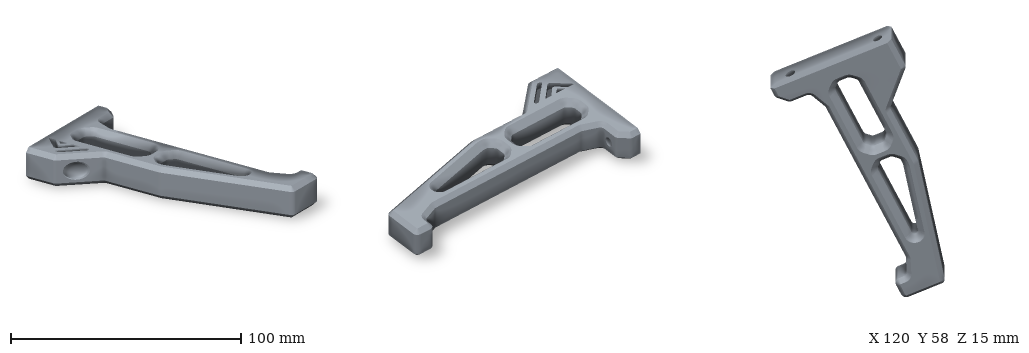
import cadquery as cq
import math

length = 120.0
height = 58.0
thickness = 15.0

flange_thickness = 10.0
flange_corner_x = 5.2
flange_corner_y = 53.3
foot_length = 15.1

arm_top = 40.2
arm_bottom = 15.0
ramp_left_x = 18.6
ramp_right_x = 101.3
ramp_end_y = 43.7
gusset_end_x = 31.0
bend_x = 59.9
taper_angle = math.radians(14)

hook_left = 109.8
hook_top = 50.0

corner_radius = 2.2
hook_radius = 2.5
gusset_radius = 1.7
bend_radius = 6.6
edge_chamfer = 2.0

window_bottom = 22.0
window_top = 33.0
window_corner_cut = 2.9
window_radius = 2.0
window_chamfer = 3.0
front_window_left = 10.0
front_window_right = 45.6
rear_window_left = 53.6
rear_window_bend_x = 59.0
rear_window_bend_radius = 8.9
rear_window_tip_radius = 1.5

upper_hole_y = 48.4
upper_hole_diameter = 4.5
lower_hole_y = 6.6
lower_hole_diameter = 4.2
counterbore_diameter = 7.5
counterbore_chamfer = 0.5

groove_depth = 3.5


def rounded_prism(corners):
    """Extrude a closed polygon of (x, y, radius) corners, centred on z = 0."""
    arcs = []
    for i, (x, y, radius) in enumerate(corners):
        corner = cq.Vector(x, y)
        before = (cq.Vector(*corners[i - 1][:2]) - corner).normalized()
        after = (cq.Vector(*corners[(i + 1) % len(corners)][:2]) - corner).normalized()
        half_angle = before.getAngle(after) / 2
        setback = radius / math.tan(half_angle)
        middle_distance = radius / math.sin(half_angle) - radius
        middle = corner + (before + after).normalized() * middle_distance
        arcs.append((corner + before * setback, middle, corner + after * setback))

    outline = cq.Workplane("XY", origin=(0, 0, -thickness / 2)).moveTo(*arcs[0][2].toTuple()[:2])
    for start, middle, end in arcs[1:] + arcs[:1]:
        outline = outline.lineTo(start.x, start.y)
        if (end - start).Length > 0:
            outline = outline.threePointArc((middle.x, middle.y), (end.x, end.y))
    return outline.close().extrude(thickness)


def make_body():
    """Flange, gusset, arm and hook in one outline, chamfered except along the mounting face."""
    taper_end_y = arm_bottom + (length - bend_x) * math.tan(taper_angle)
    body = rounded_prism([
        (0, 0, 0),
        (foot_length, 0, corner_radius),
        (gusset_end_x, arm_bottom, gusset_radius),
        (bend_x, arm_bottom, bend_radius),
        (length, taper_end_y, corner_radius),
        (length, hook_top, hook_radius),
        (hook_left, hook_top, hook_radius),
        (hook_left, ramp_end_y, corner_radius),
        (ramp_right_x, arm_top, corner_radius),
        (ramp_left_x, arm_top, corner_radius),
        (flange_thickness, ramp_end_y, corner_radius),
        (flange_thickness, flange_corner_y, corner_radius),
        (flange_corner_x, height, corner_radius),
        (0, height, 0),
    ])
    rim = body.faces("<Z or >Z").edges("not <X")
    return rim.chamfer(edge_chamfer)


def cut_window(body, corners):
    """Cut a through window and chamfer its rim on both faces."""
    window = rounded_prism(corners)
    body = body.cut(window)
    box = window.val().BoundingBox()
    margin = 0.1
    rim_area = cq.selectors.BoxSelector(
        (box.xmin - margin, box.ymin - margin, -thickness),
        (box.xmax + margin, box.ymax + margin, thickness),
        boundingbox=True,
    )
    rim = body.faces("<Z or >Z").edges(rim_area)
    return rim.chamfer(window_chamfer)


def window_end(x, inward):
    """Bevelled end of a window at x, anticlockwise; inward is 1 at a left end and -1 at a right end."""
    inner_x = x + inward * window_corner_cut
    top_cut = window_top - window_corner_cut
    bottom_cut = window_bottom + window_corner_cut
    left_end = [
        (inner_x, window_top, window_radius),
        (x, top_cut, window_radius),
        (x, bottom_cut, window_radius),
        (inner_x, window_bottom, window_radius),
    ]
    return left_end if inward > 0 else left_end[::-1]


def cut_windows(body):
    body = cut_window(body, [
        *window_end(front_window_left, 1),
        *window_end(front_window_right, -1),
    ])
    tip_x = rear_window_bend_x + (window_top - window_bottom) / math.tan(taper_angle)
    return cut_window(body, [
        *window_end(rear_window_left, 1),
        (rear_window_bend_x, window_bottom, rear_window_bend_radius),
        (tip_x, window_top, rear_window_tip_radius),
    ])


def x_cylinder(diameter, y, x_start, x_end):
    return cq.Workplane("YZ", origin=(x_start, y, 0)).circle(diameter / 2).extrude(x_end - x_start)


def cut_screw_holes(body):
    body = body.cut(x_cylinder(upper_hole_diameter, upper_hole_y, 0, flange_thickness))
    body = body.cut(x_cylinder(lower_hole_diameter, lower_hole_y, 0, flange_thickness))
    body = body.cut(x_cylinder(counterbore_diameter, lower_hole_y, flange_thickness, gusset_end_x))
    gusset_middle = (foot_length + gusset_end_x) / 2
    mouth_area = cq.selectors.BoxSelector(
        (foot_length, 0, -counterbore_diameter),
        (gusset_end_x, arm_bottom, counterbore_diameter),
        boundingbox=True,
    )
    mouth = body.faces(cq.selectors.NearestToPointSelector((gusset_middle, arm_bottom / 2, 0)))
    return mouth.edges(mouth_area).edges("%ELLIPSE").chamfer(counterbore_chamfer)


def cut_grooves(body):
    """Triangle, chevron and bar sunk into the top face, parallel to the gusset."""
    triangle = [(7.0, arm_bottom), (9.5, 12.7), (11.9, arm_bottom)]
    chevron = [
        (1.7, arm_bottom), (9.4, 7.7), (10.7, 7.7), (18.0, arm_bottom),
        (14.5, arm_bottom), (10.7, 10.9), (9.4, 10.9), (5.3, arm_bottom),
    ]
    bar = [
        (21.6, arm_bottom), (22.7, arm_bottom), (23.3, 14.6), (23.3, 13.5),
        (14.0, 4.7), (12.5, 4.7), (11.8, 5.4),
    ]
    for outline in (triangle, chevron, bar):
        floor = cq.Workplane("XY", origin=(0, 0, thickness / 2 - groove_depth))
        body = body.cut(floor.polyline(outline).close().extrude(groove_depth))
    return body


result = cut_grooves(cut_screw_holes(cut_windows(make_body())))